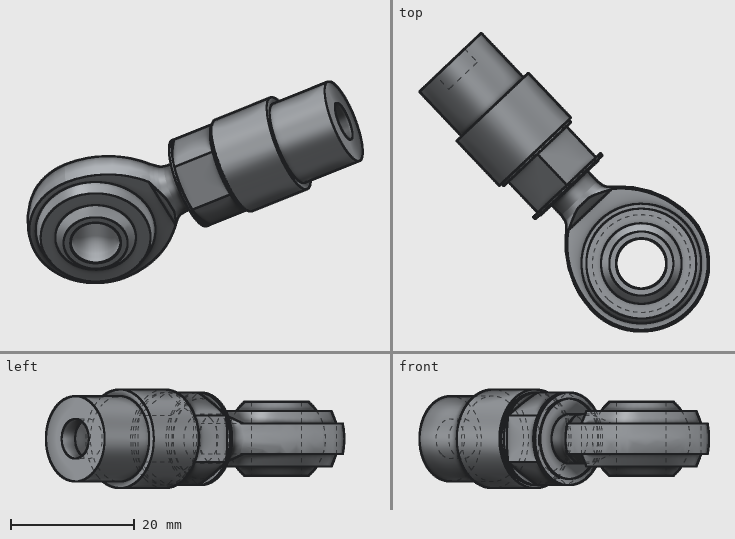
import cadquery as cq
import math


STEM_ANGLE = 133.5
OVERALL_Y = 48.35

BALL_RADIUS = 7.95
BALL_HEIGHT = 12.0
BORE_DIAMETER = 8.0
BORE_CHAMFER = 0.1
RACE_HEIGHT = 9.0
RACE_DIAMETER = 19.4
RACE_FACE_DIAMETER = 17.8

EYE_RADIUS = 11.0
EYE_THICKNESS = 5.0
SHOULDER_RADIUS = 15.7
STEM_DIAMETER = 8.0
STEM_START = 14.5
FLAT_END = 12.05

BOSS_FACE = 16.85
FRONT_FLANGE_FACE = 17.0
FRONT_FLANGE_BACK = 17.5
REAR_FLANGE_FRONT = 24.4
COLLAR_FRONT = 24.95
COLLAR_BACK = 34.95

HEX_FLATS = 13.0
CONE_DEPTH = 0.35
FLANGE_DIAMETER = 15.05
COLLAR_DIAMETER = 16.0
SLEEVE_DIAMETER = 13.8
SLEEVE_HOLE_DIAMETER = 6.4
SLEEVE_HOLE_DEPTH = 3.0

tilt = math.radians(STEM_ANGLE)
sleeve_corner_rise = SLEEVE_DIAMETER / 2 * abs(math.cos(tilt))
SLEEVE_END = (OVERALL_Y - EYE_RADIUS - sleeve_corner_rise) / math.sin(tilt)


def rod(diameter, start, end):
    """Round bar on the stem axis."""
    return cq.Workplane("YZ", origin=(start, 0, 0)).circle(diameter / 2).extrude(end - start)


def disc(diameter, height):
    """Round plate on the eye axis, centred on the eye."""
    return cq.Workplane("XY").circle(diameter / 2).extrude(height / 2, both=True)


def make_ball():
    ball = cq.Workplane("XY").sphere(BALL_RADIUS).intersect(disc(2 * BALL_RADIUS, BALL_HEIGHT))
    ball = ball.cut(disc(BORE_DIAMETER, BALL_HEIGHT))
    bore_rims = cq.selectors.RadiusNthSelector(0)
    return ball.faces("|Z").edges(bore_rims).chamfer(BORE_CHAMFER)


def make_race():
    outer, face = RACE_DIAMETER / 2, RACE_FACE_DIAMETER / 2
    edge, top = EYE_THICKNESS / 2, RACE_HEIGHT / 2
    profile = [(0, -top), (face, -top), (outer, -edge), (outer, edge), (face, top), (0, top)]
    blank = cq.Workplane("XZ").polyline(profile).close().revolve(360, (0, 0), (0, 1))
    return blank.cut(cq.Workplane("XY").sphere(BALL_RADIUS))


def make_eye_blank():
    """Eye, shoulder and stem, all round about the stem axis."""
    stem_radius = STEM_DIAMETER / 2
    shoulder_y = EYE_RADIUS - SHOULDER_RADIUS

    rise = stem_radius - shoulder_y
    fillet = (STEM_START**2 + rise**2 - SHOULDER_RADIUS**2) / (2 * (SHOULDER_RADIUS - rise))
    fillet_y = stem_radius + fillet
    join_angle = math.atan2(fillet_y - shoulder_y, STEM_START)

    def on_shoulder(angle):
        return (SHOULDER_RADIUS * math.cos(angle), shoulder_y + SHOULDER_RADIUS * math.sin(angle))

    fillet_mid_angle = (join_angle + math.pi + 1.5 * math.pi) / 2
    fillet_mid = (
        STEM_START + fillet * math.cos(fillet_mid_angle),
        fillet_y + fillet * math.sin(fillet_mid_angle),
    )
    eye_mid = (-EYE_RADIUS * math.sqrt(0.5), EYE_RADIUS * math.sqrt(0.5))
    return (
        cq.Workplane("XY")
        .moveTo(-EYE_RADIUS, 0)
        .threePointArc(eye_mid, (0, EYE_RADIUS))
        .threePointArc(on_shoulder((join_angle + math.pi / 2) / 2), on_shoulder(join_angle))
        .threePointArc(fillet_mid, (STEM_START, stem_radius))
        .lineTo(BOSS_FACE, stem_radius)
        .lineTo(BOSS_FACE, 0)
        .close()
        .revolve(360, (0, 0), (1, 0))
    )


def make_rod_end():
    half_eye, half_stem = EYE_THICKNESS / 2, STEM_DIAMETER / 2
    ramp_end = FLAT_END + half_stem - half_eye
    upper = [(-EYE_RADIUS, half_eye), (FLAT_END, half_eye), (ramp_end, half_stem), (BOSS_FACE, half_stem)]
    lower = [(x, -z) for x, z in reversed(upper)]
    side = cq.Workplane("XZ").polyline(upper + lower).close().extrude(EYE_RADIUS, both=True)
    return make_eye_blank().intersect(side).cut(disc(RACE_DIAMETER, EYE_THICKNESS))


def make_flat_cutter():
    """Ring that trims the bar down to the hexagon, with cone-shaped ends."""
    flat_radius, rim_radius = HEX_FLATS / 2, FLANGE_DIAMETER / 2
    start, end = FRONT_FLANGE_BACK - CONE_DEPTH, REAR_FLANGE_FRONT + CONE_DEPTH
    profile = [
        (start, 0),
        (start, flat_radius),
        (FRONT_FLANGE_BACK, rim_radius),
        (REAR_FLANGE_FRONT, rim_radius),
        (end, flat_radius),
        (end, 0),
    ]
    envelope = cq.Workplane("XY").polyline(profile).close().revolve(360, (0, 0), (1, 0))
    across_corners = HEX_FLATS / math.cos(math.pi / 6)
    hexagon = (
        cq.Workplane("YZ", origin=(start, 0, 0))
        .transformed(rotate=(0, 0, 90))
        .polygon(6, across_corners)
        .extrude(end - start)
    )
    return envelope.cut(hexagon)


def make_hex_body():
    bar = rod(FLANGE_DIAMETER, FRONT_FLANGE_FACE, COLLAR_FRONT)
    boss = rod(HEX_FLATS, BOSS_FACE, FRONT_FLANGE_FACE)
    return bar.cut(make_flat_cutter()).union(boss)


def make_sleeve():
    sleeve = rod(COLLAR_DIAMETER, COLLAR_FRONT, COLLAR_BACK)
    sleeve = sleeve.union(rod(SLEEVE_DIAMETER, COLLAR_BACK, SLEEVE_END))
    return sleeve.cut(rod(SLEEVE_HOLE_DIAMETER, SLEEVE_END - SLEEVE_HOLE_DEPTH, SLEEVE_END))


def turn(body):
    """Turn a body about the eye axis to the stem direction."""
    return body.rotate((0, 0, 0), (0, 0, 1), STEM_ANGLE).solids()


ball = turn(make_ball())
race = turn(make_race())
rod_end = turn(make_rod_end())
hex_body = turn(make_hex_body())
sleeve = turn(make_sleeve())

result = cq.Compound.makeCompound(
    [ball.val(), race.val(), rod_end.val(), hex_body.val(), sleeve.val()]
)